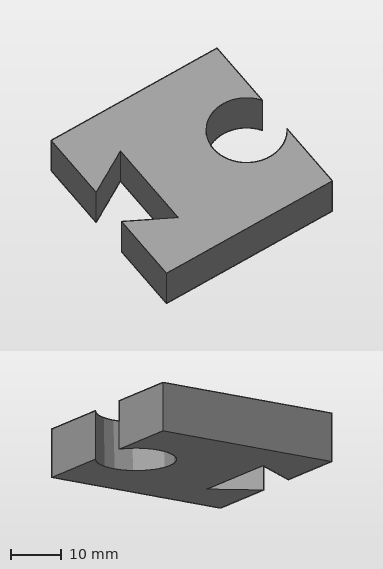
import cadquery as cq
import math

side = 40.0
thickness = 10.0

socket_diameter = 16.0
socket_center_inset = 6.8

dovetail_floor_width = 20.0
dovetail_depth = 9.75
dovetail_angle = 60.0


def make_plate():
    return cq.Workplane("XY").box(side, side, thickness, centered=(True, True, False))


def make_socket():
    center_y = side / 2 - socket_center_inset
    return cq.Workplane("XY").center(0, center_y).circle(socket_diameter / 2).extrude(thickness)


def make_dovetail():
    mouth_y = -side / 2
    floor_y = mouth_y + dovetail_depth
    half_floor = dovetail_floor_width / 2
    half_mouth = half_floor - dovetail_depth / math.tan(math.radians(dovetail_angle))
    outline = [
        (-half_mouth, mouth_y),
        (half_mouth, mouth_y),
        (half_floor, floor_y),
        (-half_floor, floor_y),
    ]
    return cq.Workplane("XY").polyline(outline).close().extrude(thickness)


result = make_plate().cut(make_socket()).cut(make_dovetail())